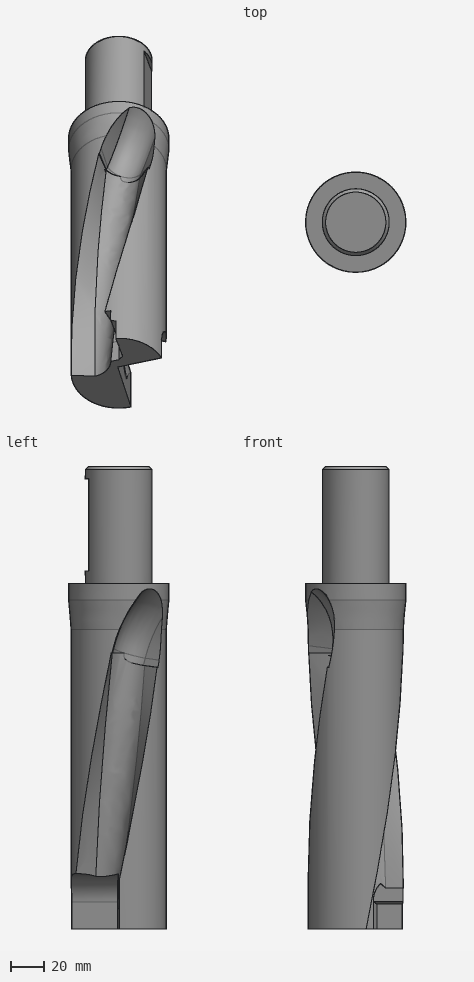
import cadquery as cq
import math

BODY_RADIUS = 28.5
COLLAR_RADIUS = 30.0
SHANK_RADIUS = 20.0
CONE_BOTTOM = 179.0
COLLAR_BOTTOM = 196.5
COLLAR_TOP = 206.5
SHANK_LENGTH = 70.0
TOTAL_LENGTH = COLLAR_TOP + SHANK_LENGTH
SHANK_CHAMFER = 2.0

FLAT_DISTANCE = 18.0
FLAT_INSET = 7.5
FLAT_BOTTOM = COLLAR_TOP + FLAT_INSET
FLAT_TOP = TOTAL_LENGTH - FLAT_INSET

FLUTE_TWIST = 0.415
FLUTE_HEIGHT = 165.0
FLUTE_START_ANGLE = 135.5
FLUTE_FLOOR_RADIUS = 13.0
FLUTE_FLOOR_CENTRE = 20.4
FLUTE_FLOOR_DEPTH = FLUTE_FLOOR_CENTRE - FLUTE_FLOOR_RADIUS
FLOOR_END_BACK = 120.0
FLOOR_END_FRONT = -135.0
MOUTH_HALF_ANGLE = 33.0
RUNOUT_RADIUS = 46.5
RUNOUT_ANGLE = 75.0
RUNOUT_OVERLAP = 4.5
RUNOUT_SWING = 2.0
RUNOUT_LEAN = 16.0

CLEAR = 40.0

CENTRAL_FLOOR_X = 5.0
CENTRAL_STRAIGHT = 16.2
CENTRAL_CURVE = 17.0
CENTRAL_WALL_INNER_Y = 0.8
CENTRAL_WALL_OUTER_Y = -0.9

OUTER_FLOOR_X = 10.6
OUTER_WALL_Y = 3.0
OUTER_STRAIGHT = 16.4
OUTER_MID_POINT = (11.8, 23.0)
OUTER_PEAK = (14.8, 27.3)
OUTER_STEP_X = 17.8
OUTER_TOP = 24.7
SEAT_DEPTH = 3.0
SEAT_SIDE_SLOPE = 2.0
SEAT_TOP_SLOPE = 1.4


def polar(radius, degrees):
    angle = math.radians(degrees)
    return radius * math.cos(angle), radius * math.sin(angle)


def make_blank():
    """Body, cone, collar and chamfered shank turned in one profile."""
    profile = [
        (0, 0),
        (-BODY_RADIUS, 0),
        (-BODY_RADIUS, CONE_BOTTOM),
        (-COLLAR_RADIUS, COLLAR_BOTTOM),
        (-COLLAR_RADIUS, COLLAR_TOP),
        (-SHANK_RADIUS, COLLAR_TOP),
        (-SHANK_RADIUS, TOTAL_LENGTH - SHANK_CHAMFER),
        (-SHANK_RADIUS + SHANK_CHAMFER, TOTAL_LENGTH),
        (0, TOTAL_LENGTH),
    ]
    return cq.Workplane("YZ").polyline(profile).close().revolve(360, (0, 0, 0), (0, 1, 0))


def make_shank_flat():
    height = FLAT_TOP - FLAT_BOTTOM
    flat = cq.Workplane("XY").box(2 * CLEAR, CLEAR, height, centered=(True, False, False))
    return flat.translate((0, FLAT_DISTANCE, FLAT_BOTTOM))


def flute_section():
    """Closed outline of a flute that opens toward +X: rounded floor, two straight walls."""

    def floor_point(degrees):
        x, y = polar(FLUTE_FLOOR_RADIUS, degrees)
        return FLUTE_FLOOR_CENTRE + x, y

    def outer_point(start, side):
        """Prolong a wall through the flute mouth, out to the clearance distance."""
        mouth_x, mouth_y = polar(BODY_RADIUS, side * MOUTH_HALF_ANGLE)
        slope = (mouth_y - start[1]) / (mouth_x - start[0])
        return CLEAR, mouth_y + slope * (CLEAR - mouth_x)

    back = floor_point(FLOOR_END_BACK)
    front = floor_point(FLOOR_END_FRONT)
    return (
        cq.Workplane("XY")
        .moveTo(*outer_point(front, -1))
        .lineTo(*front)
        .threePointArc((FLUTE_FLOOR_DEPTH, 0), back)
        .lineTo(*outer_point(back, 1))
        .close()
    )


def make_flute(start_angle):
    """Cutting tools of one flute: the helical length and the curved run-out above it."""
    twist = FLUTE_TWIST * FLUTE_HEIGHT
    helix = flute_section().twistExtrude(FLUTE_HEIGHT, twist)

    axis_x = FLUTE_FLOOR_DEPTH + RUNOUT_RADIUS
    runout = flute_section().revolve(RUNOUT_ANGLE, (axis_x, 0, 0), (axis_x, 1, 0))
    overlap = flute_section().extrude(-RUNOUT_OVERLAP)
    runout = runout.union(overlap).rotate((0, 0, 0), (1, 0, 0), -RUNOUT_LEAN)
    runout = runout.rotate((0, 0, 0), (0, 0, 1), twist + RUNOUT_SWING).translate((0, 0, FLUTE_HEIGHT))

    return [tool.rotate((0, 0, 0), (0, 0, 1), start_angle) for tool in (helix, runout)]


def make_central_pocket():
    """Flat floor that curves outward at its top, beside a wall near the XZ plane."""
    curve_end = (CENTRAL_FLOOR_X - CENTRAL_CURVE, CENTRAL_STRAIGHT + CENTRAL_CURVE)
    mid_x, mid_z = polar(CENTRAL_CURVE, 45)
    curve_mid = (curve_end[0] + mid_x, CENTRAL_STRAIGHT + mid_z)
    profile = (
        cq.Workplane("XZ", origin=(0, -CLEAR, 0))
        .moveTo(-CLEAR, 0)
        .lineTo(CENTRAL_FLOOR_X, 0)
        .lineTo(CENTRAL_FLOOR_X, CENTRAL_STRAIGHT)
        .threePointArc(curve_mid, curve_end)
        .lineTo(-CLEAR, curve_end[1])
        .close()
        .extrude(-2 * CLEAR)
    )
    wall_side = (
        cq.Workplane("XY")
        .polyline([
            (CENTRAL_FLOOR_X, CENTRAL_WALL_INNER_Y),
            (CENTRAL_FLOOR_X, CLEAR),
            (-CLEAR, CLEAR),
            (-CLEAR, CENTRAL_WALL_OUTER_Y),
        ])
        .close()
        .extrude(CLEAR)
    )
    return profile.intersect(wall_side)


def make_outer_pocket():
    """Curved-top pocket with a lower shelf toward the body surface."""
    return (
        cq.Workplane("XZ", origin=(0, OUTER_WALL_Y, 0))
        .moveTo(OUTER_FLOOR_X, 0)
        .lineTo(OUTER_FLOOR_X, OUTER_STRAIGHT)
        .threePointArc(OUTER_MID_POINT, OUTER_PEAK)
        .lineTo(OUTER_STEP_X, OUTER_TOP)
        .lineTo(CLEAR, OUTER_TOP)
        .lineTo(CLEAR, 0)
        .close()
        .extrude(CLEAR)
    )


def make_insert_seat():
    """Recess in the outer pocket's wall, narrowing with depth at its side and top."""

    def corner_outline(workplane, left, top):
        return workplane.polyline([(left, 0), (CLEAR, 0), (CLEAR, top), (left, top)]).close()

    mouth = corner_outline(
        cq.Workplane("XZ", origin=(0, OUTER_WALL_Y, 0)), OUTER_FLOOR_X, OUTER_STRAIGHT
    )
    return corner_outline(
        mouth.workplane(offset=-SEAT_DEPTH),
        OUTER_FLOOR_X + SEAT_SIDE_SLOPE,
        OUTER_STRAIGHT - SEAT_TOP_SLOPE,
    ).loft(ruled=True)


result = make_blank().cut(make_shank_flat())
for half_turn in (0, 180):
    for tool in make_flute(FLUTE_START_ANGLE + half_turn):
        result = result.cut(tool)
for pocket in (make_central_pocket(), make_outer_pocket(), make_insert_seat()):
    result = result.cut(pocket)